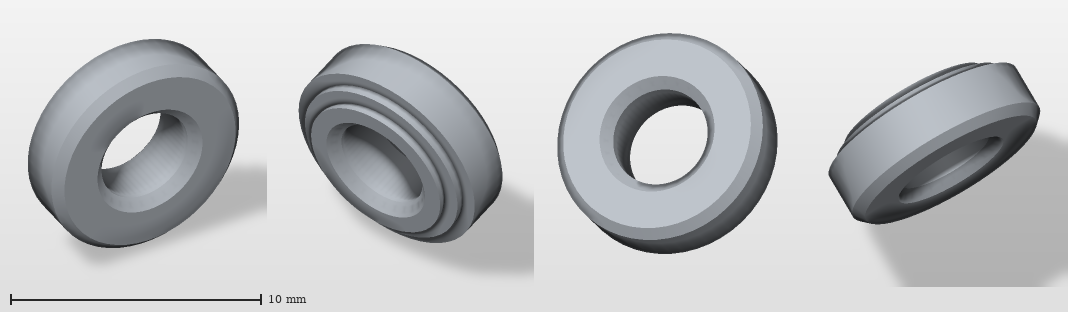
import cadquery as cq

outer_diameter = 8.64
shoulder_diameter = 7.48
nose_diameter = 6.33
neck_diameter = 6.22
bore_diameter = 3.97
bore_chamfer = 0.43

total_length = 3.05
step_length = 0.38
nose_rim_length = step_length / 2
shoulder_start = step_length
body_start = shoulder_start + step_length
edge_chamfer = 0.38

outer_radius = outer_diameter / 2
shoulder_radius = shoulder_diameter / 2
nose_radius = nose_diameter / 2
neck_radius = neck_diameter / 2
bore_radius = bore_diameter / 2
bore_mouth_radius = bore_radius + bore_chamfer

section = (
    cq.Workplane("XY")
    .moveTo(0, bore_mouth_radius)
    .lineTo(0, nose_radius)
    .lineTo(nose_rim_length, nose_radius)
    .lineTo(shoulder_start, neck_radius)
    .lineTo(shoulder_start, shoulder_radius)
    .lineTo(body_start, shoulder_radius)
    .lineTo(body_start, outer_radius)
    .lineTo(total_length - edge_chamfer, outer_radius)
    .lineTo(total_length, outer_radius - edge_chamfer)
    .lineTo(total_length, bore_mouth_radius)
    .lineTo(total_length - bore_chamfer, bore_radius)
    .lineTo(bore_chamfer, bore_radius)
    .close()
)

result = section.revolve(360, (0, 0, 0), (1, 0, 0))